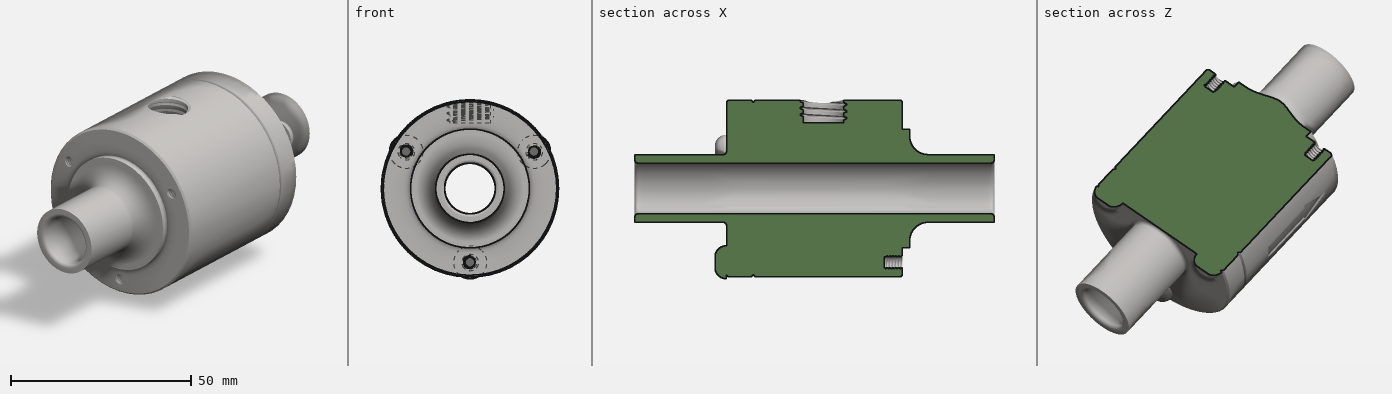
import cadquery as cq
import math


OVERALL_LENGTH = 100.0
BODY_LENGTH = 49.0
FRONT_END_Y = -OVERALL_LENGTH / 2
BACK_END_Y = OVERALL_LENGTH / 2
BODY_FRONT_Y = -BODY_LENGTH / 2
CAP_BACK_Y = BODY_LENGTH / 2
CAP_THICKNESS = 7.5
JOINT_Y = CAP_BACK_Y - CAP_THICKNESS

BODY_RADIUS = 24.6
EDGE_CHAMFER = 0.5
TUBE_RADIUS = 9.5
BORE_RADIUS = 7.0
BORE_END_RADIUS = 1.0
CAP_TUBE_FILLET = 0.8

SHOULDER_RADIUS = 16.5
SHOULDER_THICKNESS = 2.0
SHOULDER_FLARE = 5.0

SCREW_COUNT = 3
SCREW_CIRCLE_RADIUS = 20.5
HEAD_RADIUS = 4.6
HEAD_TOP_RADIUS = 2.3
HEAD_HEIGHT = 3.1
HEAD_RIM_HEIGHT = 0.6
HEAD_BULGE = 0.5
SCREW_MINOR_RADIUS = 1.4
SCREW_MAJOR_RADIUS = 1.8
SCREW_PITCH = 0.8
SCREW_HOLE_DEPTH = 5.0
SCREW_THREAD_ANGLE = 240.0

THREAD_MOUTH_HALF_WIDTH = 0.28
THREAD_ROOT_HALF_WIDTH = 0.05
THREAD_OVERLAP = 0.1

PORT_Y = -2.5
PORT_FLOOR_Z = 18.3
PORT_MINOR_RADIUS = 5.6
PORT_MAJOR_RADIUS = 6.4
PORT_PITCH = 1.9
PORT_THREAD_ANGLE = 140.0

ARROW_TAIL_Y = 6.8
ARROW_NECK_Y = -9.4
ARROW_TIP_Y = -18.3
ARROW_SHAFT_HALF_WIDTH = 2.6
ARROW_HEAD_HALF_WIDTH = 4.1
ARROW_CENTER_Z = 0.3
ARROW_DEPTH = 0.6


def revolve_about_y(outline):
    return outline.close().revolve(360, (0, 0, 0), (0, 1, 0))


def arc_middle(center_x, center_y, radius, angle):
    """Point at the given angle on a circle, used as the midpoint of a quarter arc."""
    turn = math.radians(angle)
    return (center_x + radius * math.cos(turn), center_y + radius * math.sin(turn))


def make_body():
    """Front tube, flared shoulder and main body."""
    shoulder_front_y = BODY_FRONT_Y - SHOULDER_THICKNESS
    flare_radius = TUBE_RADIUS + SHOULDER_FLARE
    flare_front_y = shoulder_front_y - SHOULDER_FLARE
    outline = (
        cq.Workplane("XY")
        .moveTo(0, FRONT_END_Y)
        .lineTo(TUBE_RADIUS, FRONT_END_Y)
        .lineTo(TUBE_RADIUS, flare_front_y)
        .threePointArc(
            arc_middle(flare_radius, flare_front_y, SHOULDER_FLARE, 135),
            (flare_radius, shoulder_front_y),
        )
        .lineTo(SHOULDER_RADIUS, shoulder_front_y)
        .lineTo(SHOULDER_RADIUS, BODY_FRONT_Y)
        .lineTo(BODY_RADIUS - EDGE_CHAMFER, BODY_FRONT_Y)
        .lineTo(BODY_RADIUS, BODY_FRONT_Y + EDGE_CHAMFER)
        .lineTo(BODY_RADIUS, JOINT_Y - EDGE_CHAMFER)
        .lineTo(BODY_RADIUS - EDGE_CHAMFER, JOINT_Y)
        .lineTo(0, JOINT_Y)
    )
    return revolve_about_y(outline)


def make_cap():
    """Chamfered cap with the back tube."""
    fillet_x = TUBE_RADIUS + CAP_TUBE_FILLET
    fillet_y = CAP_BACK_Y + CAP_TUBE_FILLET
    outline = (
        cq.Workplane("XY")
        .moveTo(0, JOINT_Y)
        .lineTo(BODY_RADIUS - EDGE_CHAMFER, JOINT_Y)
        .lineTo(BODY_RADIUS, JOINT_Y + EDGE_CHAMFER)
        .lineTo(BODY_RADIUS, CAP_BACK_Y - EDGE_CHAMFER)
        .lineTo(BODY_RADIUS - EDGE_CHAMFER, CAP_BACK_Y)
        .lineTo(fillet_x, CAP_BACK_Y)
        .threePointArc(
            arc_middle(fillet_x, fillet_y, CAP_TUBE_FILLET, 225),
            (TUBE_RADIUS, fillet_y),
        )
        .lineTo(TUBE_RADIUS, BACK_END_Y)
        .lineTo(0, BACK_END_Y)
    )
    return revolve_about_y(outline)


def make_bore():
    """Through bore with rounded mouths at both tube ends."""
    mouth_radius = BORE_RADIUS + BORE_END_RADIUS
    front_y = FRONT_END_Y + BORE_END_RADIUS
    back_y = BACK_END_Y - BORE_END_RADIUS
    outline = (
        cq.Workplane("XY")
        .moveTo(0, FRONT_END_Y)
        .lineTo(mouth_radius, FRONT_END_Y)
        .threePointArc(
            arc_middle(mouth_radius, front_y, BORE_END_RADIUS, 225),
            (BORE_RADIUS, front_y),
        )
        .lineTo(BORE_RADIUS, back_y)
        .threePointArc(
            arc_middle(mouth_radius, back_y, BORE_END_RADIUS, 135),
            (mouth_radius, BACK_END_Y),
        )
        .lineTo(0, BACK_END_Y)
    )
    return revolve_about_y(outline)


def make_screw_head():
    """Domed screw head standing on the XY plane."""
    return (
        cq.Workplane("XZ")
        .lineTo(HEAD_RADIUS, 0)
        .lineTo(HEAD_RADIUS, HEAD_RIM_HEIGHT)
        .sagittaArc((HEAD_TOP_RADIUS, HEAD_HEIGHT), -HEAD_BULGE)
        .lineTo(0, HEAD_HEIGHT)
        .close()
        .revolve(360, (0, 0, 0), (0, 1, 0))
    )


def make_tapped_hole(minor_radius, major_radius, pitch, depth):
    """Cutter for a blind threaded hole with its floor on the XY plane, opening at z = depth."""
    overlap = THREAD_OVERLAP * pitch
    root_half_width = THREAD_ROOT_HALF_WIDTH * pitch
    mouth_half_width = THREAD_MOUTH_HALF_WIDTH * pitch
    start_z = mouth_half_width
    groove_path = cq.Wire.makeHelix(pitch, depth + pitch, minor_radius).translate(cq.Vector(0, 0, start_z))
    groove = (
        cq.Workplane("XZ", origin=(0, 0, start_z))
        .moveTo(minor_radius - overlap, -mouth_half_width)
        .lineTo(major_radius, -root_half_width)
        .lineTo(major_radius, root_half_width)
        .lineTo(minor_radius - overlap, mouth_half_width)
        .close()
        .sweep(cq.Workplane(groove_path), isFrenet=True)
    )
    core = cq.Workplane("XY").circle(minor_radius).extrude(depth + 2 * pitch)
    return core.union(groove)


def make_arrow():
    """Cutter with a flat floor parallel to the YZ plane."""
    return (
        cq.Workplane("YZ", origin=(-BODY_RADIUS + ARROW_DEPTH, 0, ARROW_CENTER_Z))
        .moveTo(ARROW_TAIL_Y, -ARROW_SHAFT_HALF_WIDTH)
        .lineTo(ARROW_NECK_Y, -ARROW_SHAFT_HALF_WIDTH)
        .lineTo(ARROW_NECK_Y, -ARROW_HEAD_HALF_WIDTH)
        .lineTo(ARROW_TIP_Y, 0)
        .lineTo(ARROW_NECK_Y, ARROW_HEAD_HALF_WIDTH)
        .lineTo(ARROW_NECK_Y, ARROW_SHAFT_HALF_WIDTH)
        .lineTo(ARROW_TAIL_Y, ARROW_SHAFT_HALF_WIDTH)
        .close()
        .extrude(-2 * ARROW_DEPTH)
    )


result = make_body().union(make_cap()).cut(make_bore()).cut(make_arrow())

port = make_tapped_hole(PORT_MINOR_RADIUS, PORT_MAJOR_RADIUS, PORT_PITCH, BODY_RADIUS - PORT_FLOOR_Z)
port = port.rotate((0, 0, 0), (0, 0, 1), PORT_THREAD_ANGLE)
result = result.cut(port.translate((0, PORT_Y, PORT_FLOOR_Z)))

screw_head = make_screw_head().rotate((0, 0, 0), (1, 0, 0), -90)
screw_head = screw_head.translate((0, CAP_BACK_Y, -SCREW_CIRCLE_RADIUS))
screw_hole = make_tapped_hole(SCREW_MINOR_RADIUS, SCREW_MAJOR_RADIUS, SCREW_PITCH, SCREW_HOLE_DEPTH)
screw_hole = screw_hole.rotate((0, 0, 0), (0, 0, 1), SCREW_THREAD_ANGLE).rotate((0, 0, 0), (1, 0, 0), 90)
screw_hole = screw_hole.translate((0, BODY_FRONT_Y + SCREW_HOLE_DEPTH, -SCREW_CIRCLE_RADIUS))

for index in range(SCREW_COUNT):
    angle = index * 360 / SCREW_COUNT
    result = result.union(screw_head.rotate((0, 0, 0), (0, 1, 0), angle))
    result = result.cut(screw_hole.rotate((0, 0, 0), (0, 1, 0), angle))